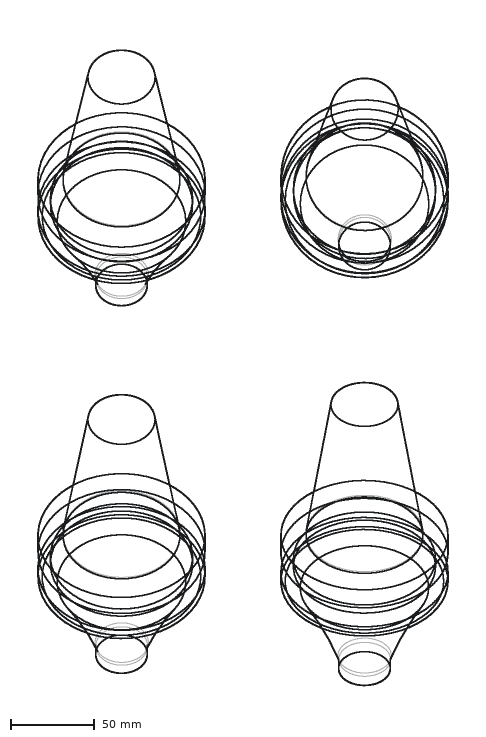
import cadquery as cq
import math

gauge_diameter = 69.85
taper_ratio = 7 / 24
taper_length = 101.8
gauge_radius = gauge_diameter / 2
taper_tip_radius = gauge_radius - taper_length * taper_ratio / 2

flange_radius = 100 / 2
flange_top = -1.5
flange_bottom = -38.0

groove_radius = 85 / 2
groove_center = -23.2
groove_floor_width = 6.4
groove_side_slope = math.tan(math.radians(30))
groove_floor_top = groove_center + groove_floor_width / 2
groove_floor_bottom = groove_center - groove_floor_width / 2
groove_side_height = (flange_radius - groove_radius) * groove_side_slope
groove_mouth_top = groove_floor_top + groove_side_height
groove_mouth_bottom = groove_floor_bottom - groove_side_height

shoulder_top_radius = 47.4
shoulder_bottom_radius = 38.4
shoulder_bottom = -43.1

neck_middle_radius = 25.8
neck_bottom_radius = 15.95
neck_bottom = -96.5
neck_middle = (shoulder_bottom + neck_bottom) / 2

nose_radius = 31 / 2
nose_top = -99.5
nose_bottom = -107.0


def holder_profile():
    """Half section in the XZ plane, from the nose up to the taper tip."""
    return (
        cq.Workplane("XZ")
        .moveTo(0, nose_bottom)
        .lineTo(nose_radius, nose_bottom)
        .lineTo(nose_radius, nose_top)
        .lineTo(neck_bottom_radius, neck_bottom)
        .threePointArc(
            (neck_middle_radius, neck_middle),
            (shoulder_bottom_radius, shoulder_bottom),
        )
        .lineTo(shoulder_top_radius, flange_bottom)
        .lineTo(flange_radius, flange_bottom)
        .lineTo(flange_radius, groove_mouth_bottom)
        .lineTo(groove_radius, groove_floor_bottom)
        .lineTo(groove_radius, groove_floor_top)
        .lineTo(flange_radius, groove_mouth_top)
        .lineTo(flange_radius, flange_top)
        .lineTo(gauge_radius, flange_top)
        .lineTo(gauge_radius, 0)
        .lineTo(taper_tip_radius, taper_length)
        .lineTo(0, taper_length)
        .close()
    )


result = holder_profile().revolve(360, (0, 0, 0), (0, 1, 0))